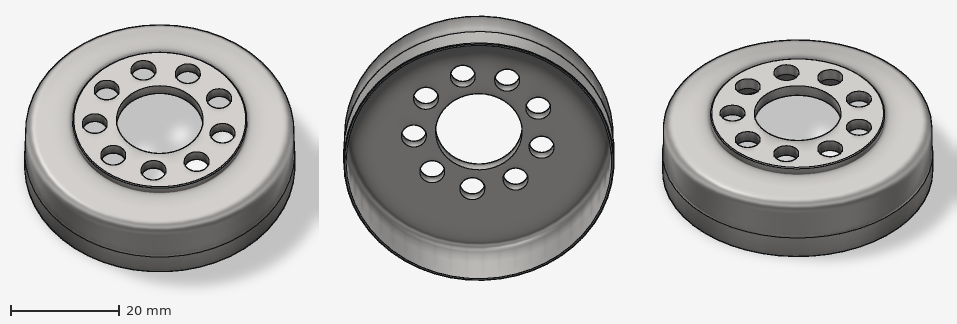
import cadquery as cq
import math

outer_radius = 25.0
total_height = 14.0

body_radius = 24.85
shoulder_height = 12.35
shoulder_round = 2.1
side_wall = 0.3
roof_thickness = 0.65
band_height = 4.55
band_blend_height = 0.55
rim_chamfer = 0.15

disc_radius = 16.1
disc_chamfer = 0.2
disc_root_fillet = 0.15

bore_radius = 8.0
bolt_hole_diameter = 4.6
bolt_circle_radius = 12.05
bolt_hole_count = 9
first_hole_angle = 90.0

band_step = outer_radius - body_radius
blend_top = band_height + band_blend_height
blend_radius = (band_step**2 + band_blend_height**2) / (2 * band_step)
blend_mid_drop = band_blend_height / 2
blend_mid_radius = body_radius + blend_radius - math.sqrt(blend_radius**2 - blend_mid_drop**2)

quarter_inset = 1 - math.sqrt(0.5)


def make_outer_body():
    """Revolve the solid outer shape of the cup and its raised disc."""
    profile = (
        cq.Workplane("XZ")
        .moveTo(0, 0)
        .lineTo(outer_radius - rim_chamfer, 0)
        .lineTo(outer_radius, rim_chamfer)
        .lineTo(outer_radius, band_height)
        .threePointArc((blend_mid_radius, blend_top - blend_mid_drop), (body_radius, blend_top))
        .lineTo(body_radius, shoulder_height - shoulder_round)
        .threePointArc(
            (body_radius - quarter_inset * shoulder_round, shoulder_height - quarter_inset * shoulder_round),
            (body_radius - shoulder_round, shoulder_height),
        )
        .lineTo(disc_radius + disc_root_fillet, shoulder_height)
        .threePointArc(
            (disc_radius + quarter_inset * disc_root_fillet, shoulder_height + quarter_inset * disc_root_fillet),
            (disc_radius, shoulder_height + disc_root_fillet),
        )
        .lineTo(disc_radius, total_height - disc_chamfer)
        .lineTo(disc_radius - disc_chamfer, total_height)
        .lineTo(0, total_height)
        .close()
    )
    return profile.revolve(360, (0, 0, 0), (0, 1, 0))


def make_cavity():
    """Make the inside of the cup, open at the bottom with a rounded upper edge."""
    return (
        cq.Workplane("XY")
        .circle(body_radius - side_wall)
        .extrude(shoulder_height - roof_thickness)
        .faces(">Z")
        .edges()
        .fillet(shoulder_round - roof_thickness)
    )


def make_openings():
    """Make the central bore and the ring of bolt holes."""
    bore = cq.Workplane("XY").circle(bore_radius).extrude(total_height)
    bolt_holes = (
        cq.Workplane("XY")
        .polarArray(bolt_circle_radius, first_hole_angle, 360, bolt_hole_count)
        .circle(bolt_hole_diameter / 2)
        .extrude(total_height)
    )
    return bore.union(bolt_holes)


result = make_outer_body().cut(make_cavity()).cut(make_openings())